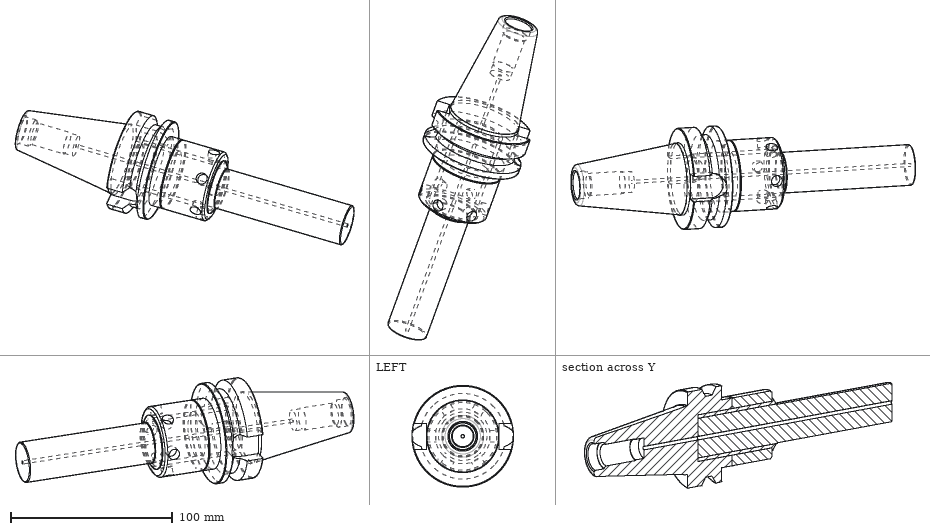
import cadquery as cq
import math


gauge_diameter = 44.45
taper_length = 65.4
taper_ratio = 7 / 24
taper_end_diameter = gauge_diameter - taper_length * taper_ratio
taper_end_fillet = 2.0
collar_diameter = 45.0

flange_diameter = 63.0
flange_start = 2.0
flange_end = 27.0
flange_edge_chamfer = 0.5
groove_floor_diameter = 53.0
groove_floor_start = 15.4
groove_floor_end = 19.8
groove_wall_angle = 30.0

slot_width = 16.1
slot_floor_distance = 22.5
slot_end = 23.1

body_diameter = 44.5
body_end = 34.6
joint_chamfer = 0.4
bore_mouth_chamfer = 0.75
counterbore_diameter = 17.0
counterbore_depth = 7.2
thread_mouth_diameter = 16.5
thread_core_diameter = 13.84
thread_core_depth = 30.0
drill_diameter = 13.0
drill_depth = 36.0
coolant_diameter = 2.0

nut_diameter = body_diameter
nut_end = 63.4
nut_front_chamfer = 1.3
spanner_hole_count = 6
spanner_hole_diameter = 6.9
spanner_hole_depth = 5.6
spanner_hole_x = 57.8

collet_diameter = 30.0
collet_start = 10.0
nose_start_diameter = 34.0
nose_end_diameter = 26.0
nose_rim_length = 0.5
nose_cone_length = 2.7
nose_land_length = 0.5
nose_cone_start = nut_end + nose_rim_length
nose_cone_end = nose_cone_start + nose_cone_length
nose_end = nose_cone_end + nose_land_length

bar_diameter = 25.4
bar_end = 150.0
bar_chamfer = 0.6


def revolve_about_x(points):
    """Revolve a profile of (x, radius) points about the X axis."""
    return cq.Workplane("XY").polyline(points).close().revolve(360, (0, 0, 0), (1, 0, 0))


def cylinder_x(diameter, start, end):
    return cq.Workplane("YZ", origin=(start, 0, 0)).circle(diameter / 2).extrude(end - start)


def make_drive_slot(side):
    """Round-ended cutter for the slot on the +Y (side = 1) or -Y (side = -1) side."""
    depth = flange_diameter / 2 - slot_floor_distance
    slot_radius = slot_width / 2
    arc_x = slot_end - slot_radius
    return (
        cq.Workplane("XZ", origin=(0, side * slot_floor_distance, 0))
        .moveTo(0, -slot_radius)
        .lineTo(arc_x, -slot_radius)
        .threePointArc((slot_end, 0), (arc_x, slot_radius))
        .lineTo(0, slot_radius)
        .close()
        .extrude(-side * depth)
    )


def make_drawbar_bore():
    rear = -taper_length
    mouth_r = counterbore_diameter / 2 + bore_mouth_chamfer
    counterbore_r = counterbore_diameter / 2
    thread_mouth_r = thread_mouth_diameter / 2
    thread_r = thread_core_diameter / 2
    drill_r = drill_diameter / 2
    return revolve_about_x([
        (rear, 0),
        (rear, mouth_r),
        (rear + bore_mouth_chamfer, counterbore_r),
        (rear + counterbore_depth, counterbore_r),
        (rear + counterbore_depth, thread_mouth_r),
        (rear + counterbore_depth + thread_mouth_r - thread_r, thread_r),
        (rear + thread_core_depth, thread_r),
        (rear + thread_core_depth, drill_r),
        (rear + drill_depth, drill_r),
        (rear + drill_depth, 0),
    ])


def make_holder():
    gauge_r = gauge_diameter / 2
    collar_r = collar_diameter / 2
    flange_r = flange_diameter / 2
    floor_r = groove_floor_diameter / 2
    body_r = body_diameter / 2
    wall_run = (flange_r - floor_r) * math.tan(math.radians(groove_wall_angle))

    taper = (
        revolve_about_x([
            (-taper_length, 0),
            (-taper_length, taper_end_diameter / 2),
            (0, gauge_r),
            (0, 0),
        ])
        .faces("<X").edges().fillet(taper_end_fillet)
    )
    front = revolve_about_x([
        (0, 0),
        (0, collar_r),
        (flange_start, collar_r),
        (flange_start, flange_r - flange_edge_chamfer),
        (flange_start + flange_edge_chamfer, flange_r),
        (groove_floor_start - wall_run, flange_r),
        (groove_floor_start, floor_r),
        (groove_floor_end, floor_r),
        (groove_floor_end + wall_run, flange_r),
        (flange_end - flange_edge_chamfer, flange_r),
        (flange_end, flange_r - flange_edge_chamfer),
        (flange_end, body_r),
        (body_end - joint_chamfer, body_r),
        (body_end, body_r - joint_chamfer),
        (body_end, 0),
    ])
    holder = taper.union(front)
    for side in (-1, 1):
        holder = holder.cut(make_drive_slot(side))
    holder = holder.cut(make_drawbar_bore())
    holder = holder.cut(cylinder_x(coolant_diameter, -taper_length, body_end))
    return holder.cut(cylinder_x(collet_diameter, collet_start, body_end))


def make_nut():
    nut = (
        cylinder_x(nut_diameter, body_end, nut_end)
        .faces("<X").edges().chamfer(joint_chamfer)
        .faces(">X").edges().chamfer(nut_front_chamfer)
        .cut(cylinder_x(collet_diameter, body_end, nut_end))
    )
    hole = (
        cq.Workplane("XZ", origin=(spanner_hole_x, -nut_diameter / 2 + spanner_hole_depth, 0))
        .circle(spanner_hole_diameter / 2)
        .extrude(nut_diameter / 2)
    )
    for index in range(spanner_hole_count):
        nut = nut.cut(hole.rotate((0, 0, 0), (1, 0, 0), index * 360 / spanner_hole_count))
    return nut


def make_collet():
    sleeve_r = collet_diameter / 2
    bore_r = bar_diameter / 2
    return revolve_about_x([
        (collet_start, bore_r),
        (collet_start, sleeve_r),
        (nut_end, sleeve_r),
        (nut_end, nose_start_diameter / 2),
        (nose_cone_start, nose_start_diameter / 2),
        (nose_cone_end, nose_end_diameter / 2),
        (nose_end, nose_end_diameter / 2),
        (nose_end, bore_r),
    ])


def make_bar():
    return (
        cylinder_x(bar_diameter, collet_start, bar_end)
        .faces(">X").edges().chamfer(bar_chamfer)
        .cut(cylinder_x(coolant_diameter, collet_start, bar_end))
    )


holder = make_holder()
nut = make_nut()
collet = make_collet()
bar = make_bar()

result = cq.Compound.makeCompound([holder.val(), nut.val(), collet.val(), bar.val()])